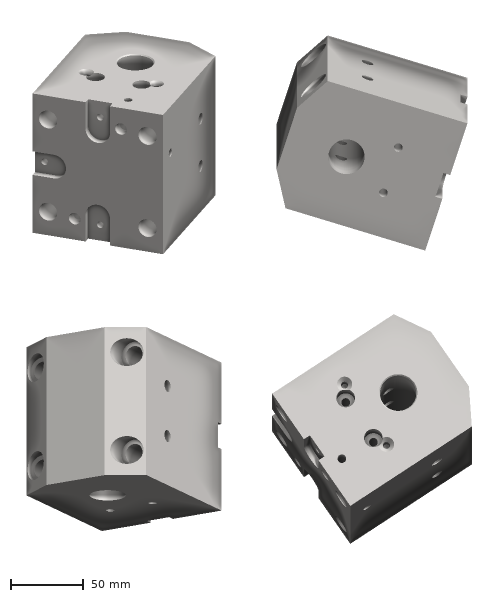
import cadquery as cq
import math

width = 96.0
length = 115.0
height = 106.0
front_y = -length / 2
top_z = height / 2
side_x = width / 2

rear_flat_width = 46.6
rear_slope_angle = 30.0

slot_width = 17.9
slot_depth = 5.0
vertical_slot_length = 29.4
side_slot_length = 24.6

pin_diameter = 5.0
pin_depth = 9.2
pin_offset = 40.9

dowel_diameter = 8.6
dowel_depth = 8.0
dowel_x = 17.0
dowel_z = 37.0

bolt_diameter = 13.5
bolt_head_diameter = 19.9
bolt_x = 36.6
bolt_z = 35.1
bolt_head_seat_y = 40.2

bore_diameter = 25.0
bore_rim_diameter = 26.6
bore_y = 14.5
cross_hole_diameter = 8.4
cross_hole_z = 17.9

screw_diameter = 6.0
screw_head_diameter = 12.9
screw_head_depth = 11.5
screw_x = 17.0
screw_y = -17.5

sunk_diameter = 5.0
sunk_rim_diameter = 10.6
sunk_angle = 90.0
sunk_depth = 9.2
sunk_x = 25.8
sunk_y = -12.5

port_diameter = 6.0
port_x = 17.0
port_y = -43.6
port_z = cross_hole_z

drill_tip_angle = 118.0

BACKWARD = cq.Vector(0, 1, 0)
DOWN = cq.Vector(0, 0, -1)
LEFT = cq.Vector(-1, 0, 0)


def cylinder(diameter, depth, start, direction):
    return cq.Solid.makeCylinder(diameter / 2, depth, cq.Vector(*start), direction)


def cone(start_diameter, end_diameter, depth, start, direction):
    return cq.Solid.makeCone(start_diameter / 2, end_diameter / 2, depth, cq.Vector(*start), direction)


def cone_depth(diameter_change, angle):
    """Axial length of a cone with the given included angle."""
    return diameter_change / 2 / math.tan(math.radians(angle / 2))


def drilled_hole(diameter, depth, start, direction):
    """Blind hole with a full-diameter depth and a conical drill tip."""
    tip_start = (cq.Vector(*start) + direction * depth).toTuple()
    tip = cone(diameter, 0, cone_depth(diameter, drill_tip_angle), tip_start, direction)
    return cylinder(diameter, depth, start, direction).fuse(tip)


def block():
    slope_run = (width - rear_flat_width) / 2
    slope_rise = slope_run * math.tan(math.radians(rear_slope_angle))
    shoulder_y = length / 2 - slope_rise
    outline = [
        (-side_x, front_y),
        (side_x, front_y),
        (side_x, shoulder_y),
        (rear_flat_width / 2, length / 2),
        (-rear_flat_width / 2, length / 2),
        (-side_x, shoulder_y),
    ]
    return cq.Workplane("XY", origin=(0, 0, -top_z)).polyline(outline).close().extrude(height)


def key_slot(edge_distance, slot_length, angle):
    """Round-ended slot with a pin hole, made at the top edge and turned about the Y axis."""
    round_z = edge_distance - slot_length + slot_width / 2
    slot = cylinder(slot_width, slot_depth, (0, front_y, round_z), BACKWARD)
    straight = cq.Solid.makeBox(
        slot_width,
        slot_depth,
        edge_distance - round_z,
        cq.Vector(-slot_width / 2, front_y, round_z),
    )
    pin = drilled_hole(pin_diameter, pin_depth, (0, front_y + slot_depth, pin_offset), BACKWARD)
    return slot.fuse(straight, pin).rotate(cq.Vector(0, 0, 0), cq.Vector(0, 1, 0), angle)


result = block()

result = result.cut(key_slot(top_z, vertical_slot_length, 0))
result = result.cut(key_slot(top_z, vertical_slot_length, 180))
result = result.cut(key_slot(side_x, side_slot_length, -90))

for side in (-1, 1):
    dowel_start = (side * dowel_x, front_y, side * dowel_z)
    result = result.cut(drilled_hole(dowel_diameter, dowel_depth, dowel_start, BACKWARD))

for x in (-bolt_x, bolt_x):
    for z in (-bolt_z, bolt_z):
        result = result.cut(cylinder(bolt_diameter, length, (x, front_y, z), BACKWARD))
        result = result.cut(cylinder(bolt_head_diameter, length, (x, bolt_head_seat_y, z), BACKWARD))

rim_depth = (bore_rim_diameter - bore_diameter) / 2
result = result.cut(cylinder(bore_diameter, height, (0, bore_y, top_z), DOWN))
result = result.cut(cone(bore_rim_diameter, bore_diameter, rim_depth, (0, bore_y, top_z), DOWN))

for z in (-cross_hole_z, cross_hole_z):
    result = result.cut(cylinder(cross_hole_diameter, width, (side_x, bore_y, z), LEFT))

sunk_cone_depth = cone_depth(sunk_rim_diameter - sunk_diameter, sunk_angle)
for side in (-1, 1):
    screw_start = (side * screw_x, screw_y, top_z)
    result = result.cut(cylinder(screw_diameter, height, screw_start, DOWN))
    result = result.cut(cylinder(screw_head_diameter, screw_head_depth, screw_start, DOWN))
    sunk_start = (side * sunk_x, sunk_y, top_z)
    result = result.cut(drilled_hole(sunk_diameter, sunk_depth, sunk_start, DOWN))
    result = result.cut(cone(sunk_rim_diameter, sunk_diameter, sunk_cone_depth, sunk_start, DOWN))

result = result.cut(cylinder(port_diameter, top_z - port_z, (port_x, port_y, top_z), DOWN))
passage_length = side_x - port_x + port_diameter / 2
result = result.cut(drilled_hole(port_diameter, passage_length, (side_x, port_y, port_z), LEFT))